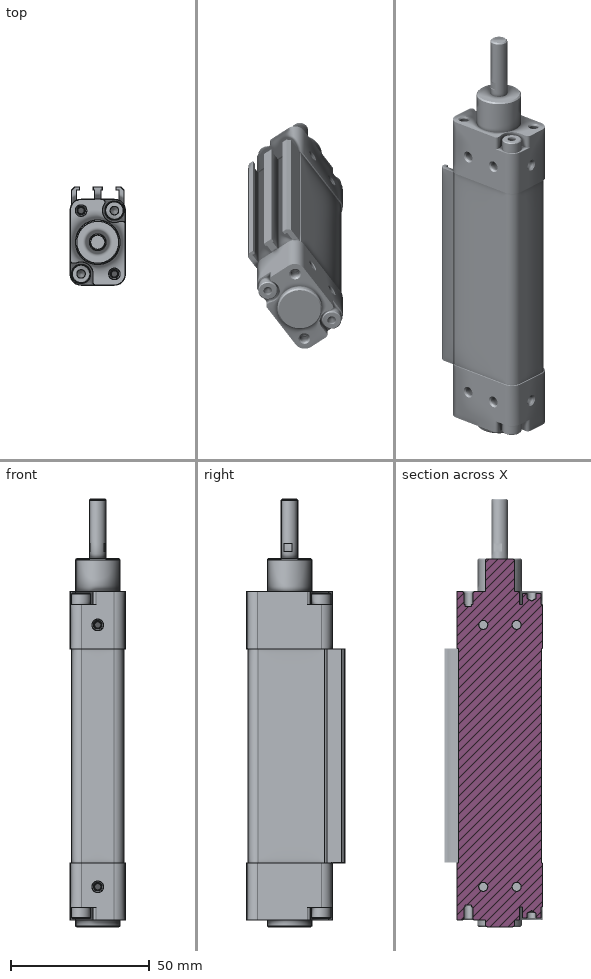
import cadquery as cq
import math

TOTAL_HEIGHT = 154.5
END_BOSS_HEIGHT = 2.5
CAP_HEIGHT = 20.7
TUBE_LENGTH = 77.2
COLLAR_HEIGHT = 11.9

TUBE_BOTTOM = END_BOSS_HEIGHT + CAP_HEIGHT
TUBE_TOP = TUBE_BOTTOM + TUBE_LENGTH
CAP_TOP = TUBE_TOP + CAP_HEIGHT
COLLAR_TOP = CAP_TOP + COLLAR_HEIGHT
MID_HEIGHT = (END_BOSS_HEIGHT + CAP_TOP) / 2

CAP_WIDTH = 20.0
CAP_DEPTH = 31.0
CAP_CORNER_RADIUS = 4.0
TUBE_INSET = 0.5
TUBE_HALF_WIDTH = CAP_WIDTH / 2 - TUBE_INSET
TUBE_FRONT = TUBE_INSET - CAP_DEPTH / 2
TUBE_BACK = CAP_DEPTH / 2 - TUBE_INSET
TUBE_CORNER_RADIUS = 3.7

TOTAL_DEPTH = 35.5
RAIL_BACK = TOTAL_DEPTH - CAP_DEPTH / 2
RAIL_WALL = 1.9
RAIL_LIP_WIDTH = 1.1
RAIL_LIP_THICKNESS = 1.2
RAIL_CHAMFER = 1.2
CENTER_STEM_WIDTH = 2.5
CENTER_HEAD_WIDTH = 3.4
GROOVE_Y = 13.1
GROOVE_RADIUS = 0.5

COLLAR_DIAMETER = 16.0
COLLAR_CHAMFER = 0.5

SCREW_X = 6.0
SCREW_Y = 11.5
SCREW_HEAD_DIAMETER = 7.0
SCREW_HEAD_RECESS = 0.6
SCREW_HEAD_CHAMFER = 0.3
SCREW_SOCKET_DIAMETER = 3.1
SCREW_SOCKET_DEPTH = 1.9
DRILL_TIP_ANGLE = 120.0
POCKET_RADIUS = 4.3
POCKET_DEPTH = 4.6
POCKET_SIDE_WALL = 3.9
FRONT_POCKET_WALL = 4.3
BACK_POCKET_WALL = 3.4
POCKET_EDGE_RADIUS = 1.1

HOLE_DIAMETER = 3.1
HOLE_CORE_DIAMETER = 2.3
HOLE_MOUTH_DIAMETER = 4.2
HOLE_DEPTH = 4.6
HOLE_CORE_DEPTH = 5.4
PORT_FROM_CAP_END = 12.0
SIDE_HOLE_Y = 6.0

ROD_DIAMETER = 6.0
ROD_CHAMFER = 0.5
ROD_FLAT_ACROSS = 5.3
ROD_FLAT_ABOVE_COLLAR = 2.5
ROD_FLAT_LENGTH = 3.0
ROD_FLAT_ANGLE = -13.0


def end_cap(bottom):
    """Cap block with rounded upright edges."""
    return (
        cq.Workplane("XY", origin=(0, 0, bottom))
        .rect(CAP_WIDTH, CAP_DEPTH)
        .extrude(CAP_HEIGHT)
        .edges("|Z")
        .fillet(CAP_CORNER_RADIUS)
    )


def tube_block(x_min, x_max, y_min, y_max):
    """Box over the tube length between the given X and Y limits."""
    return cq.Workplane("XY", origin=(x_min, y_min, TUBE_BOTTOM)).box(
        x_max - x_min, y_max - y_min, TUBE_LENGTH, centered=False
    )


def tube():
    """Tube with two hooked outer rails and a T-shaped centre rail on its back.

    A small round groove runs along the outer side of each hooked rail.
    """
    body = tube_block(-TUBE_HALF_WIDTH, TUBE_HALF_WIDTH, TUBE_FRONT, RAIL_BACK)
    body = body.edges("|Z and <Y").fillet(TUBE_CORNER_RADIUS)
    body = body.edges("|Z and >Y").chamfer(RAIL_CHAMFER)
    wall_inside = TUBE_HALF_WIDTH - RAIL_WALL
    lip_inside = wall_inside - RAIL_LIP_WIDTH
    lip_front = RAIL_BACK - RAIL_LIP_THICKNESS
    for side in (-1, 1):
        slot = tube_block(CENTER_STEM_WIDTH / 2, wall_inside, TUBE_BACK, lip_front)
        slot = slot.union(tube_block(CENTER_HEAD_WIDTH / 2, lip_inside, lip_front, RAIL_BACK))
        groove = (
            cq.Workplane("XY", origin=(TUBE_HALF_WIDTH, GROOVE_Y, TUBE_BOTTOM))
            .circle(GROOVE_RADIUS)
            .extrude(TUBE_LENGTH)
        )
        cutter = slot.union(groove)
        if side < 0:
            cutter = cutter.mirror("YZ")
        body = body.cut(cutter)
    return body


def collar(start, height, free_end):
    """Round collar with a chamfer on its free end."""
    return (
        cq.Workplane("XY", origin=(0, 0, start))
        .circle(COLLAR_DIAMETER / 2)
        .extrude(height)
        .faces(free_end)
        .chamfer(COLLAR_CHAMFER)
    )


def screw_pocket(wall_offset):
    """Front-left pocket at the top: a bore around the screw, opened to both outer faces.

    wall_offset is the distance in X from the screw axis to the wall that meets the front face.
    The edges where the pocket walls meet the outer faces are rounded.
    """
    left = -CAP_WIDTH / 2
    front = -CAP_DEPTH / 2
    inner_x = -SCREW_X + wall_offset
    inner_y = -SCREW_Y + POCKET_SIDE_WALL
    edge = POCKET_EDGE_RADIUS
    edge_shift = edge * (1 - math.sqrt(0.5))
    floor = cq.Workplane("XY", origin=(0, 0, CAP_TOP - POCKET_DEPTH))
    opening = (
        floor.moveTo(left, front)
        .lineTo(inner_x + edge, front)
        .threePointArc((inner_x + edge_shift, front + edge_shift), (inner_x, front + edge))
        .lineTo(inner_x, -SCREW_Y)
        .lineTo(-SCREW_X, inner_y)
        .lineTo(left + edge, inner_y)
        .threePointArc((left + edge_shift, inner_y + edge_shift), (left, inner_y + edge))
        .close()
        .extrude(POCKET_DEPTH)
    )
    bore = floor.center(-SCREW_X, -SCREW_Y).circle(POCKET_RADIUS).extrude(POCKET_DEPTH)
    return opening.union(bore)


def screw_head():
    """Front-left screw head at the top, with a drilled socket."""
    height = POCKET_DEPTH - SCREW_HEAD_RECESS
    radius = SCREW_SOCKET_DIAMETER / 2
    tip_depth = radius / math.tan(math.radians(DRILL_TIP_ANGLE / 2))
    socket = (
        cq.Workplane("XZ")
        .polyline(
            [
                (0, height),
                (radius, height),
                (radius, height - SCREW_SOCKET_DEPTH),
                (0, height - SCREW_SOCKET_DEPTH - tip_depth),
            ]
        )
        .close()
        .revolve(360, (0, 0), (0, 1))
    )
    head = (
        cq.Workplane("XY")
        .circle(SCREW_HEAD_DIAMETER / 2)
        .extrude(height)
        .faces(">Z")
        .chamfer(SCREW_HEAD_CHAMFER)
        .cut(socket)
    )
    return head.translate((-SCREW_X, -SCREW_Y, CAP_TOP - POCKET_DEPTH))


def at_both_caps(shape, turn):
    """A top front-left shape turned about Z, and its mirror image in the bottom cap."""
    top_copy = shape.rotate((0, 0, 0), (0, 0, 1), turn)
    return [top_copy, top_copy.mirror("XY", (0, 0, MID_HEIGHT))]


def threaded_hole(mouth, direction):
    """Blind threaded bore with a countersunk mouth and a narrower core drilling."""
    radius = HOLE_DIAMETER / 2
    mouth_radius = HOLE_MOUTH_DIAMETER / 2
    start = cq.Vector(*mouth)
    axis = cq.Vector(*direction)
    bore = cq.Solid.makeCylinder(radius, HOLE_DEPTH, start, axis)
    countersink = cq.Solid.makeCone(mouth_radius, radius, mouth_radius - radius, start, axis)
    core = cq.Solid.makeCylinder(HOLE_CORE_DIAMETER / 2, HOLE_CORE_DEPTH, start, axis)
    return cq.Workplane(bore.fuse(countersink, core))


def cap_holes():
    """End, front and side holes of both caps."""
    holes = []
    for end, inward in ((END_BOSS_HEIGHT, 1), (CAP_TOP, -1)):
        for side in (-1, 1):
            holes.append(threaded_hole((side * SCREW_X, -side * SCREW_Y, end), (0, 0, inward)))
        port_z = end + inward * PORT_FROM_CAP_END
        holes.append(threaded_hole((0, -CAP_DEPTH / 2, port_z), (0, 1, 0)))
        for y in (-SIDE_HOLE_Y, SIDE_HOLE_Y):
            holes.append(threaded_hole((-CAP_WIDTH / 2, y, port_z), (1, 0, 0)))
    return holes


def make_housing():
    body = tube().union(end_cap(END_BOSS_HEIGHT)).union(end_cap(TUBE_TOP))
    for turn, wall_offset in ((0, FRONT_POCKET_WALL), (180, BACK_POCKET_WALL)):
        for pocket in at_both_caps(screw_pocket(wall_offset), turn):
            body = body.cut(pocket)
        for head in at_both_caps(screw_head(), turn):
            body = body.union(head)
    for hole in cap_holes():
        body = body.cut(hole)
    body = body.union(collar(0, END_BOSS_HEIGHT, "<Z"))
    body = body.union(collar(CAP_TOP, COLLAR_HEIGHT, ">Z"))
    rod_bore = (
        cq.Workplane("XY", origin=(0, 0, TUBE_TOP))
        .circle(ROD_DIAMETER / 2)
        .extrude(COLLAR_TOP - TUBE_TOP)
    )
    return body.cut(rod_bore)


def make_rod():
    """Piston rod with two opposite wrench flats above the collar."""
    rod = (
        cq.Workplane("XY", origin=(0, 0, TUBE_TOP))
        .circle(ROD_DIAMETER / 2)
        .extrude(TOTAL_HEIGHT - TUBE_TOP)
        .faces(">Z")
        .chamfer(ROD_CHAMFER)
    )
    flat_bottom = cq.Workplane("XY", origin=(0, 0, COLLAR_TOP + ROD_FLAT_ABOVE_COLLAR))
    outside_flats = (
        flat_bottom.circle(ROD_DIAMETER)
        .extrude(ROD_FLAT_LENGTH)
        .cut(flat_bottom.rect(ROD_FLAT_ACROSS, 2 * ROD_DIAMETER).extrude(ROD_FLAT_LENGTH))
        .rotate((0, 0, 0), (0, 0, 1), ROD_FLAT_ANGLE)
    )
    return rod.cut(outside_flats)


housing = make_housing()
rod = make_rod()
result = cq.Compound.makeCompound([housing.val(), rod.val()])